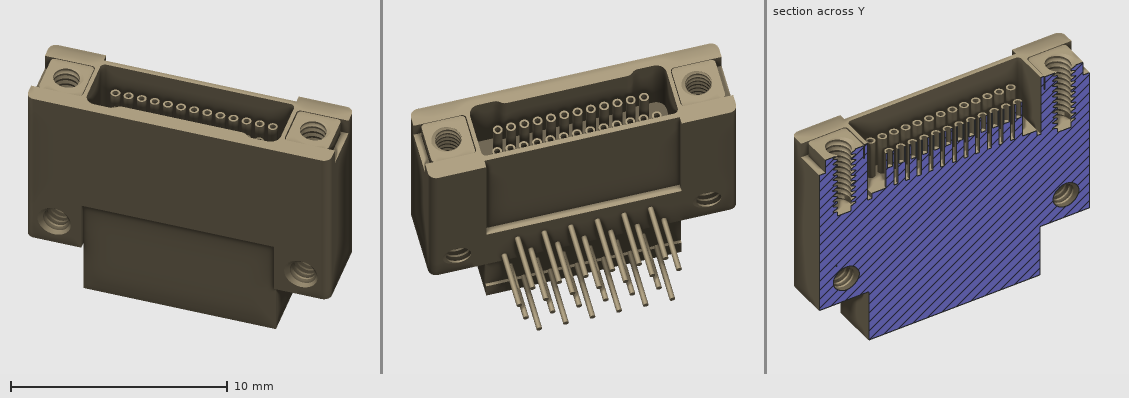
import cadquery as cq

shell_length = 14.71
shell_depth = 3.84
total_height = 11.55
shell_bottom = 2.82
shell_corner_radius = 0.38

block_width = 9.33
block_front = 0.32
block_back = 3.69
block_top = 5.47
foot_height = 0.82

pocket_half_width = 4.69
pocket_back = 3.24
pocket_front = 0.74
pocket_back_radius = 0.24
pocket_floor = 8.24
bay_front = 0.5
bay_corner_radius = 0.5
bay_flat_end = 3.44
bay_end = 2.87
keyway_depth = 0.35

insert_half_width = 4.5
insert_front = 0.82
insert_back = 3.05
insert_front_radius = 0.35
insert_back_radius = 0.19
insert_top = 8.53

contact_count = 25
contact_span = 7.62
contact_pitch = contact_span / (contact_count - 1)
socket_row_y = (2.56, 1.44)
socket_diameter = 0.45
socket_bore = 0.28
socket_bore_depth = 0.88
socket_top = 10.55
pin_diameter = 0.26
pin_end = 6.63
pin_anchor = 2.94
pin_bottom_row = 0.75
pin_row_spacing = 1.27
pin_row_order = (2, 0, 3, 1)

fastener_x = 5.97
nut_seat_depth = 0.8
nut_seat_inner_x = 4.88
nut_inner_x = 4.93
nut_outer_x = 7.02
nut_front = 0.84
nut_back = 2.95
nut_corner_radius = 0.19
nut_drop = 0.05
jack_thread_depth = 3.53
jack_thread_turn = 30
mount_hole_z = 4.12

jack_thread_minor = 1.24
mount_thread_minor = 1.18
thread_major = 1.62
thread_pitch = 0.31
thread_crest = 0.06
thread_overlap = 0.05
thread_overrun = 2 * thread_pitch


def box(x0, x1, y0, y1, z0, z1):
    """Block between two opposite corners."""
    return cq.Workplane("XY").box(x1 - x0, y1 - y0, z1 - z0, centered=False).translate((x0, y0, z0))


def mirrored(body):
    """Body together with its mirror image across the YZ plane."""
    return body.union(body.mirror("YZ"))


def rod(x, y, z0, z1, diameter):
    """Vertical cylinder."""
    return cq.Workplane("XY", origin=(x, y, z0)).circle(diameter / 2).extrude(z1 - z0)


def thread_cutter(length, minor_diameter):
    """Threaded hole rising along Z from the origin, with the groove kept inside the ends of the bore."""
    start_radius = minor_diameter / 2 - thread_overlap
    major_radius = thread_major / 2
    foot_half = (thread_pitch - thread_crest) / 2
    helix = cq.Wire.makeHelix(thread_pitch, length - thread_pitch, start_radius)
    groove = (
        cq.Workplane("XZ")
        .polyline([
            (start_radius, -foot_half),
            (major_radius, 0),
            (start_radius, foot_half),
        ])
        .close()
        .sweep(cq.Workplane(helix), isFrenet=True)
        .translate((0, 0, thread_pitch / 2))
    )
    return rod(0, 0, 0, length, minor_diameter).union(groove)


def pocket_outline():
    """Pocket with rounded back corners and a deeper bay at each front corner."""
    ramp_x = (bay_flat_end + bay_end) / 2
    ramp_y = (bay_front + pocket_front) / 2
    corner_x = pocket_half_width - bay_corner_radius
    return (
        cq.Workplane("XY", origin=(0, 0, pocket_floor))
        .moveTo(-bay_end, pocket_front)
        .lineTo(bay_end, pocket_front)
        .tangentArcPoint((ramp_x, ramp_y), relative=False)
        .tangentArcPoint((bay_flat_end, bay_front), relative=False)
        .lineTo(corner_x, bay_front)
        .tangentArcPoint((pocket_half_width, bay_front + bay_corner_radius), relative=False)
        .lineTo(pocket_half_width, pocket_back)
        .lineTo(-pocket_half_width, pocket_back)
        .lineTo(-pocket_half_width, bay_front + bay_corner_radius)
        .tangentArcPoint((-corner_x, bay_front), relative=False)
        .lineTo(-bay_flat_end, bay_front)
        .tangentArcPoint((-ramp_x, ramp_y), relative=False)
        .tangentArcPoint((-bay_end, pocket_front), relative=False)
        .close()
    )


def make_shell():
    half_length = shell_length / 2
    half_block = block_width / 2
    shell = box(-half_length, half_length, 0, shell_depth, shell_bottom, total_height)
    shell = shell.edges("|Z").fillet(shell_corner_radius)
    front_notch = box(-half_block, half_block, 0, block_front, shell_bottom, block_top)
    keyway = box(-half_block, half_block, shell_depth - keyway_depth, shell_depth, block_top, total_height)
    pocket = pocket_outline().extrude(total_height - pocket_floor)
    pocket = pocket.edges("|Z and >Y").fillet(pocket_back_radius)
    return shell.cut(front_notch).cut(keyway).cut(pocket)


def make_block():
    half_block = block_width / 2
    body = box(-half_block, half_block, block_front, block_back, 0, block_top)
    foot = box(-half_block, half_block, block_back, shell_depth, 0, foot_height)
    return body.union(foot)


def make_insert():
    insert = box(-insert_half_width, insert_half_width, insert_front, insert_back, pocket_floor, insert_top)
    insert = insert.edges("|Z and <Y").fillet(insert_front_radius)
    return insert.edges("|Z and >Y").fillet(insert_back_radius)


def make_nut():
    seat_bottom = total_height - nut_seat_depth
    nut = box(nut_inner_x, nut_outer_x, nut_front, nut_back, seat_bottom, total_height - nut_drop)
    return nut.edges("|Z").fillet(nut_corner_radius)


def make_nut_seat():
    seat_bottom = total_height - nut_seat_depth
    seat = box(nut_seat_inner_x, shell_length / 2, nut_front, nut_back, seat_bottom, total_height)
    return seat.edges("|Z and <X").fillet(nut_corner_radius)


def make_countersink(x):
    """Cone at the front mouth of a mounting hole, opening to the full thread diameter at 45 degrees."""
    cone = cq.Solid.makeCone(
        thread_major / 2,
        mount_thread_minor / 2,
        (thread_major - mount_thread_minor) / 2,
        pnt=cq.Vector(x, 0, mount_hole_z),
        dir=cq.Vector(0, 1, 0),
    )
    return cq.Workplane(cone)


def make_socket(x, y):
    socket = rod(x, y, pocket_floor, socket_top, socket_diameter)
    return socket.cut(rod(x, y, socket_top - socket_bore_depth, socket_top, socket_bore))


def make_pin(x, z):
    pin = cq.Workplane("XZ", origin=(x, pin_end, z)).circle(pin_diameter / 2)
    return pin.extrude(pin_end - pin_anchor)


connector = make_shell().union(make_block())
connector = connector.cut(mirrored(make_nut_seat())).union(mirrored(make_nut())).union(make_insert())

contacts = cq.Workplane("XY")
for index in range(contact_count):
    contact_x = index * contact_pitch - contact_span / 2
    socket_y = socket_row_y[index % len(socket_row_y)]
    pin_z = pin_bottom_row + pin_row_order[index % len(pin_row_order)] * pin_row_spacing
    contacts = contacts.add(make_socket(contact_x, socket_y)).add(make_pin(contact_x, pin_z))
connector = connector.union(contacts.combine())

jack_thread = thread_cutter(jack_thread_depth + thread_overrun, jack_thread_minor)
jack_thread = jack_thread.rotate((0, 0, 0), (0, 0, 1), jack_thread_turn)
mount_thread = thread_cutter(shell_depth + 2 * thread_overrun, mount_thread_minor)
mount_thread = mount_thread.rotate((0, 0, 0), (1, 0, 0), -90)
jack_y = (nut_front + nut_back) / 2
jack_bottom = total_height - nut_drop - jack_thread_depth
for side in (-1, 1):
    connector = connector.cut(jack_thread.translate((side * fastener_x, jack_y, jack_bottom)))
    connector = connector.cut(mount_thread.translate((side * fastener_x, -thread_overrun, mount_hole_z)))
    connector = connector.cut(make_countersink(side * fastener_x))

result = connector